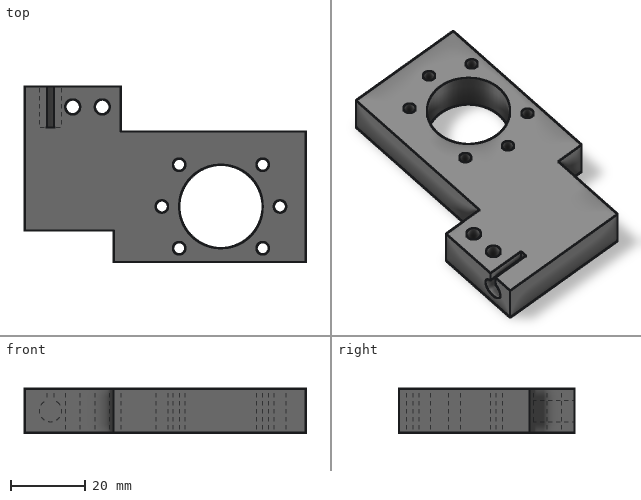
import cadquery as cq
import math

length = 76.0
width = 47.5
thickness = 12.0
front_step_x = 24.0
front_step_depth = 8.5
back_step_x = 26.0
back_step_depth = 12.15

bore_diameter = 22.5
bore_x = 53.05
bore_y = 15.05
screw_circle_radius = 15.95
screw_diameter = 3.3
screw_angles = [0, 45, 135, 180, 225, 315]

tab_hole_diameter = 3.95
tab_hole_x = 13.0
tab_hole_spacing = 8.0
tab_hole_edge_distance = 5.55

slot_x = 7.0
slot_width = 2.0
slot_length = 11.1
pocket_diameter = 6.0
pocket_z = thickness / 2


def make_plate():
    return (
        cq.Workplane("XY")
        .moveTo(0, front_step_depth)
        .lineTo(front_step_x, front_step_depth)
        .lineTo(front_step_x, 0)
        .lineTo(length, 0)
        .lineTo(length, width - back_step_depth)
        .lineTo(back_step_x, width - back_step_depth)
        .lineTo(back_step_x, width)
        .lineTo(0, width)
        .close()
        .extrude(thickness)
    )


def make_through_holes(points, diameter):
    return cq.Workplane("XY").pushPoints(points).circle(diameter / 2).extrude(thickness)


def make_slotted_pocket():
    back_face = cq.Workplane("XZ", origin=(slot_x, width, pocket_z))
    pocket = back_face.circle(pocket_diameter / 2).extrude(slot_length)
    slit_height = thickness - pocket_z
    slit = back_face.center(0, slit_height / 2).rect(slot_width, slit_height).extrude(slot_length)
    return pocket.union(slit)


screw_points = [
    (
        bore_x + screw_circle_radius * math.cos(math.radians(angle)),
        bore_y + screw_circle_radius * math.sin(math.radians(angle)),
    )
    for angle in screw_angles
]
tab_hole_points = [
    (tab_hole_x + index * tab_hole_spacing, width - tab_hole_edge_distance) for index in range(2)
]

result = (
    make_plate()
    .cut(make_through_holes([(bore_x, bore_y)], bore_diameter))
    .cut(make_through_holes(screw_points, screw_diameter))
    .cut(make_through_holes(tab_hole_points, tab_hole_diameter))
    .cut(make_slotted_pocket())
)